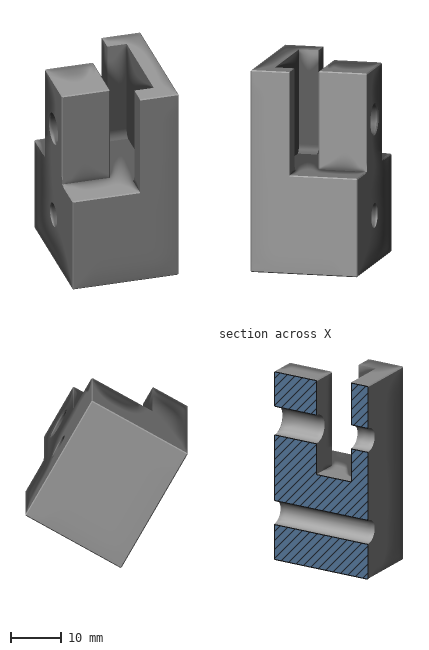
import cadquery as cq
import math

width = 27.0
depth = 22.0
height = 41.0
edge_break = 0.2

shoulder_height = 20.0
post_width = 12.0
post_depth = 10.0
post_height = 39.95
plate_front = 14.0

recess_width = 19.02
recess_depth = 4.0
recess_radius = 2.0
recess_toe = 1.0

hole_diameter = 5.0
post_hole_diameter = 6.0
post_hole_chamfer = 0.25
lower_hole_height = 10.0
upper_hole_height = 29.5

runout_radius = 2.0


def box_from(x_size, y_min, y_max, z_min, z_max):
    """Box centred on X between the given Y and Z limits."""
    return (
        cq.Workplane("XY")
        .box(x_size, y_max - y_min, z_max - z_min, centered=(True, False, False))
        .translate((0, y_min, z_min))
    )


def cylinder_along_y(diameter, z, y_min, y_max):
    return (
        cq.Workplane("XZ", origin=(0, y_min, z))
        .circle(diameter / 2)
        .extrude(-(y_max - y_min))
    )


def make_base_and_plate():
    """L-shaped body with broken edges on its sides, back and bottom."""
    side_outline = [
        (0, 0),
        (depth, 0),
        (depth, height),
        (plate_front, height),
        (plate_front, shoulder_height),
        (0, shoulder_height),
    ]
    body = cq.Workplane("YZ").polyline(side_outline).close().extrude(width / 2, both=True)
    body = body.edges(">Y or <Z").chamfer(edge_break)
    for z, y_min, y_max in (
        (shoulder_height, 0, plate_front),
        (height, plate_front, depth),
    ):
        for side in (-1, 1):
            corner = side * width / 2
            inset = corner - side * edge_break
            wedge = (
                cq.Workplane("XZ", origin=(0, y_min, 0))
                .polyline([(corner, z), (inset, z), (corner, z - edge_break)])
                .close()
                .extrude(-(y_max - y_min))
            )
            body = body.cut(wedge)
    return body


def make_post():
    post = box_from(post_width, 0, post_depth, 0, post_height)
    return post.edges(">Z or (>Y and |Z)").chamfer(edge_break)


def make_recess():
    """Open-topped recess whose rounded lower corners meet the shoulder short of tangency."""
    half = recess_width / 2
    toe_drop = math.sqrt(recess_radius**2 - (recess_radius - recess_toe) ** 2)
    arc_top = shoulder_height + toe_drop
    return (
        cq.Workplane("XZ", origin=(0, plate_front, 0))
        .moveTo(-half, height)
        .lineTo(-half, arc_top)
        .radiusArc((-half + recess_toe, shoulder_height), -recess_radius)
        .lineTo(half - recess_toe, shoulder_height)
        .radiusArc((half, arc_top), -recess_radius)
        .lineTo(half, height)
        .close()
        .extrude(-recess_depth)
    )


def make_front_envelope():
    """Stepped front outline flaring back at 45 degrees, then the full block behind it."""
    half = width / 2 - edge_break
    post_half = post_width / 2 - edge_break
    ledge = shoulder_height - edge_break
    outline = [
        (-half, edge_break),
        (half, edge_break),
        (half, ledge),
        (post_half, ledge),
        (post_half, post_height - edge_break),
        (-post_half, post_height - edge_break),
        (-post_half, ledge),
        (-half, ledge),
    ]
    inner_corners = cq.selectors.BoxSelector(
        (-post_half - edge_break, -0.4, ledge - 0.4),
        (post_half + edge_break, edge_break + 0.4, ledge + 0.4),
    )
    face = (
        cq.Workplane("XZ")
        .polyline(outline)
        .close()
        .extrude(-edge_break)
        .edges("|Y")
        .edges(inner_corners)
        .fillet(runout_radius)
        .faces("<Y")
        .wires()
        .val()
    )
    flare = cq.Workplane("XZ").add(face).toPending().extrude(-edge_break, taper=-45)
    return flare.union(box_from(width, edge_break, depth, 0, height))


def make_post_bore():
    """Through bore in the post, with its front rim chamfered."""
    bore = cylinder_along_y(post_hole_diameter, upper_hole_height, 0, post_depth)
    rim = cq.Workplane(
        cq.Solid.makeCone(
            post_hole_diameter / 2 + post_hole_chamfer,
            post_hole_diameter / 2,
            post_hole_chamfer,
            pnt=cq.Vector(0, 0, upper_hole_height),
            dir=cq.Vector(0, 1, 0),
        )
    )
    return bore.union(rim)


result = make_base_and_plate().union(make_post()).cut(make_recess())
result = result.intersect(make_front_envelope())
result = result.cut(make_post_bore())
result = result.cut(cylinder_along_y(hole_diameter, upper_hole_height, plate_front, depth))
result = result.cut(cylinder_along_y(hole_diameter, lower_hole_height, 0, depth))